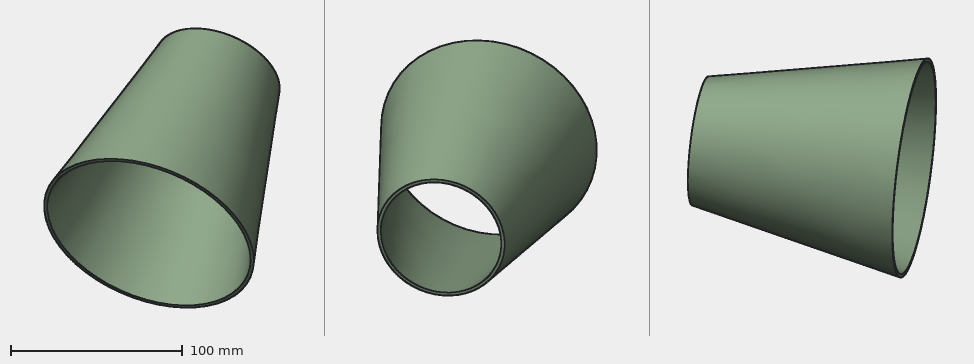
import cadquery as cq

wide_diameter = 129.0
narrow_diameter = 76.1
length = 127.0
wall = 2.0

wide_radius = wide_diameter / 2
narrow_radius = narrow_diameter / 2

wall_section = (
    cq.Workplane("XY")
    .moveTo(wide_radius - wall, 0)
    .lineTo(wide_radius, 0)
    .lineTo(narrow_radius, length)
    .lineTo(narrow_radius - wall, length)
    .close()
)

result = wall_section.revolve(360, (0, 0, 0), (0, 1, 0))